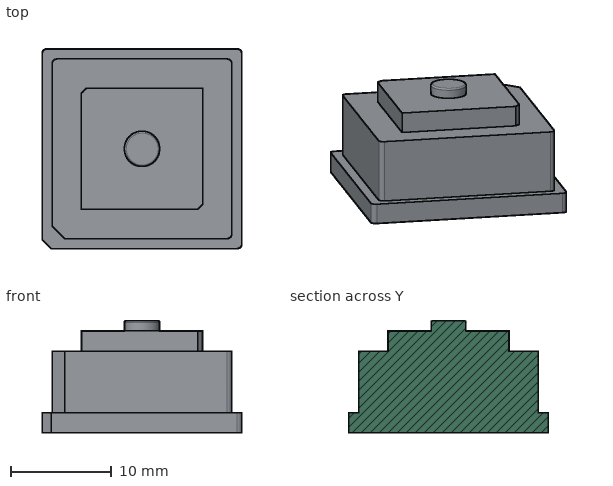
import cadquery as cq

total_height = 11.1

base_width = 19.8
base_height = 2.0
base_chamfer = 0.91

body_width = 17.8
body_height = 6.1
body_chamfer = 1.25

corner_radius = 0.5

platform_width = 12.0
platform_height = 2.0
platform_chamfer = 0.5

pin_diameter = 3.5
pin_edge_fillet = 0.15

body_bottom = base_height
platform_bottom = body_bottom + body_height
pin_bottom = platform_bottom + platform_height
pin_height = total_height - pin_bottom


def square_block(width, height, bottom):
    """Square block centred on the Z axis."""
    block = cq.Workplane("XY").box(width, width, height, centered=(True, True, False))
    return block.translate((0, 0, bottom))


def keyed_block(width, height, bottom, chamfer):
    """Square block with a chamfer at the (-X, -Y) corner and rounds at the other three."""
    block = square_block(width, height, bottom)
    block = block.edges("|Z").edges("<(1, 1, 0)").chamfer(chamfer)
    for far_corner in (">(1, 1, 0)", ">(1, -1, 0)", "<(1, -1, 0)"):
        block = block.edges("|Z").edges(far_corner).fillet(corner_radius)
    return block


def make_platform():
    """Square platform with chamfers at the (+X, -Y) and (-X, +Y) corners."""
    block = square_block(platform_width, platform_height, platform_bottom)
    for corner in (">(1, -1, 0)", "<(1, -1, 0)"):
        block = block.edges("|Z").edges(corner).chamfer(platform_chamfer)
    return block


def make_pin():
    """Round pin with a softened top edge."""
    pin = cq.Workplane("XY").workplane(offset=pin_bottom).circle(pin_diameter / 2).extrude(pin_height)
    return pin.faces(">Z").edges().fillet(pin_edge_fillet)


base = keyed_block(base_width, base_height, 0, base_chamfer)
body = keyed_block(body_width, body_height, body_bottom, body_chamfer)

result = base.union(body).union(make_platform()).union(make_pin())